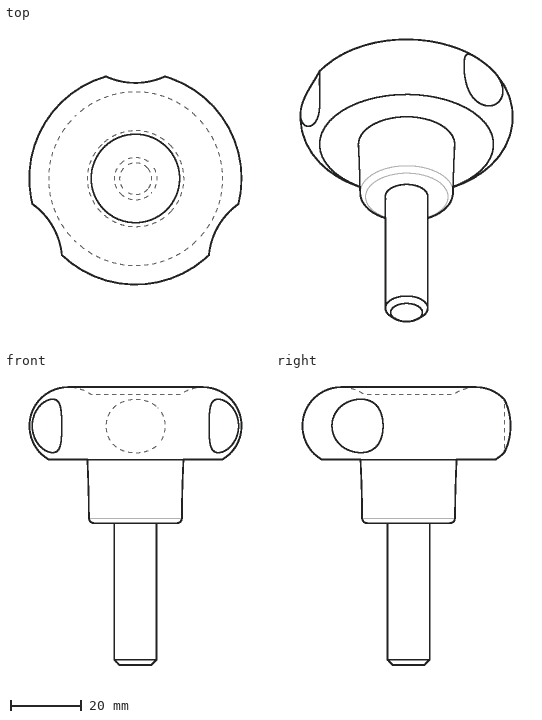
import cadquery as cq
import math

stud_length = 40.0
hub_height = 18.0
overall_height = 78.49

head_radius = 30.0
ring_radius = 11.0
dish_radius = 12.5

hub_top_radius = 13.6
hub_bottom_radius = 13.15
hub_edge_round = 1.5

stud_diameter = 12.0
stud_chamfer = 1.5

notch_count = 3
notch_radius = 20.0
notch_depth = 3.0

head_top = overall_height - stud_length
ring_center_r = head_radius - ring_radius
ring_center_z = head_top - ring_radius
dish_z = ring_center_z + math.sqrt(ring_radius**2 - (ring_center_r - dish_radius) ** 2)
head_base_radius = ring_center_r + math.sqrt(ring_radius**2 - (ring_center_z - hub_height) ** 2)


def make_head():
    """Revolved ring with a flat base and a shallow flat-bottomed dish on top."""
    profile = (
        cq.Workplane("XZ")
        .moveTo(0, hub_height)
        .lineTo(head_base_radius, hub_height)
        .threePointArc((ring_center_r, head_top), (dish_radius, dish_z))
        .lineTo(0, dish_z)
        .close()
    )
    return profile.revolve(360, (0, 0, 0), (0, 1, 0))


def make_notches():
    """Upright cylinders that bite into the rim, the first one at +Y."""
    center_distance = head_radius - notch_depth + notch_radius
    return (
        cq.Workplane("XY")
        .workplane(offset=hub_height)
        .polarArray(center_distance, 90, 360, notch_count)
        .circle(notch_radius)
        .extrude(head_top - hub_height)
    )


def make_hub():
    """Hub with a slightly concave side, vertical at its foot, and a rounded lower edge."""
    flare = hub_top_radius - hub_bottom_radius
    side_radius = (hub_height**2 + flare**2) / (2 * flare)
    hub = (
        cq.Workplane("XZ")
        .lineTo(hub_bottom_radius, 0)
        .radiusArc((hub_top_radius, hub_height), side_radius)
        .lineTo(0, hub_height)
        .close()
        .revolve(360, (0, 0, 0), (0, 1, 0))
    )
    return hub.faces("<Z").edges().fillet(hub_edge_round)


def make_stud():
    """Plain stud below the hub with a chamfered tip."""
    stud = cq.Workplane("XY").circle(stud_diameter / 2).extrude(-stud_length)
    return stud.faces("<Z").chamfer(stud_chamfer)


result = make_head().cut(make_notches()).union(make_hub()).union(make_stud())